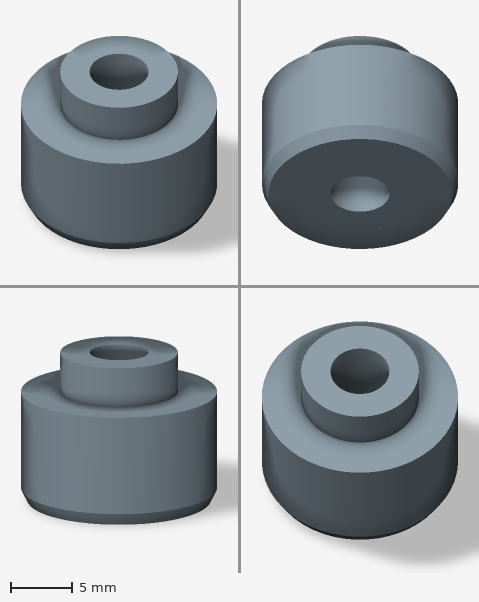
import cadquery as cq

ring_diameter = 16.0
ring_height = 9.2
chamfer_height = 1.04
chamfer_width = 0.53

sleeve_diameter = 9.6
bore_diameter = 4.8
sleeve_height = 12.5


def make_ring():
    """Ring with a tapered lower edge and a through hole that fits the sleeve."""
    outer_radius = ring_diameter / 2
    hole_radius = sleeve_diameter / 2
    profile = (
        cq.Workplane("XZ")
        .moveTo(hole_radius, 0)
        .lineTo(outer_radius - chamfer_width, 0)
        .lineTo(outer_radius, chamfer_height)
        .lineTo(outer_radius, ring_height)
        .lineTo(hole_radius, ring_height)
        .close()
    )
    return profile.revolve(360, (0, 0, 0), (0, 1, 0))


def make_sleeve():
    """Plain tube, flush with the bottom of the ring."""
    return (
        cq.Workplane("XY")
        .circle(sleeve_diameter / 2)
        .circle(bore_diameter / 2)
        .extrude(sleeve_height)
    )


ring = make_ring()
sleeve = make_sleeve()

result = cq.Compound.makeCompound([ring.val(), sleeve.val()])